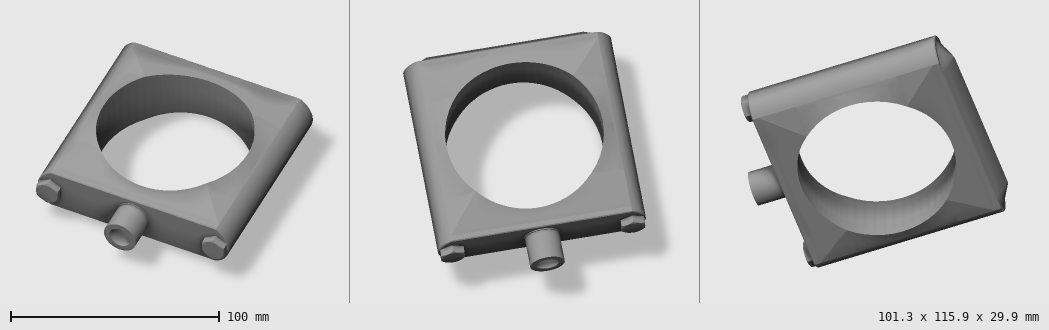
import cadquery as cq
import math

body_width = 101.3
body_length = 95.2
body_height = 22.5
flat_half_width = 43.9
body_end_chamfer = 0.5
bore_diameter = 76.1

saddle_height = 29.9
saddle_half_length = 44.5
saddle_top_half_length = 25.5

overall_length = 115.9
spout_diameter = 16.8
spout_hole_diameter = 10.9
spout_collar_diameter = 17.7
spout_collar_thickness = 0.5
drill_point_angle = 118.0

bolt_head_across_flats = 11.4
bolt_head_height = 3.8
bolt_head_flat_fraction = 0.97

ridge_height = 5.7
ridge_half_length = 38.1
ridge_base_half_length = 47.7

bore_radius = bore_diameter / 2
half_width = body_width / 2
half_height = body_height / 2
front_y = -body_length / 2
back_y = body_length / 2
spout_length = overall_length - body_length - ridge_height


def make_body():
    """Block whose left and right faces are cylindrical bulges."""
    return (
        cq.Workplane("XZ", origin=(0, back_y, 0))
        .moveTo(-flat_half_width, -half_height)
        .lineTo(flat_half_width, -half_height)
        .threePointArc((half_width, 0), (flat_half_width, half_height))
        .lineTo(-flat_half_width, half_height)
        .threePointArc((-half_width, 0), (-flat_half_width, -half_height))
        .close()
        .extrude(body_length)
        .faces("<Y or >Y")
        .chamfer(body_end_chamfer)
    )


def make_saddle():
    """Sloped pyramid crossed by a ruled band that follows the bore edge."""
    rise = (saddle_height - body_height) / 2
    top_half_width = math.sqrt(bore_radius**2 - saddle_top_half_length**2)
    base = cq.Workplane("XY", origin=(0, 0, half_height))
    pyramid = (
        base.rect(2 * flat_half_width, 2 * saddle_half_length)
        .workplane(offset=rise)
        .rect(2 * top_half_width, 2 * saddle_top_half_length)
        .loft(ruled=True)
    )
    band = (
        base.moveTo(-flat_half_width, -saddle_top_half_length)
        .lineTo(flat_half_width, -saddle_top_half_length)
        .lineTo(flat_half_width, saddle_top_half_length)
        .lineTo(-flat_half_width, saddle_top_half_length)
        .close()
        .workplane(offset=rise)
        .moveTo(-top_half_width, -saddle_top_half_length)
        .lineTo(top_half_width, -saddle_top_half_length)
        .threePointArc((bore_radius, 0), (top_half_width, saddle_top_half_length))
        .lineTo(-top_half_width, saddle_top_half_length)
        .threePointArc((-bore_radius, 0), (-top_half_width, -saddle_top_half_length))
        .close()
        .loft(ruled=True)
    )
    return pyramid.union(band)


def make_ridge():
    """Straight triangular ridge closed at both ends by half cones."""
    base_half_height = half_height - body_end_chamfer
    ridge = (
        cq.Workplane("YZ", origin=(-ridge_half_length, 0, 0))
        .polyline([
            (back_y, -base_half_height),
            (back_y + ridge_height, 0),
            (back_y, base_half_height),
        ])
        .close()
        .extrude(2 * ridge_half_length)
    )
    for side in (-1, 1):
        end_x = side * ridge_half_length
        end_base = (
            cq.Workplane("XZ", origin=(0, back_y, 0))
            .moveTo(end_x, -base_half_height)
            .threePointArc((side * ridge_base_half_length, 0), (end_x, base_half_height))
            .close()
            .wires()
            .val()
        )
        peak = cq.Vertex.makeVertex(end_x, back_y + ridge_height, 0)
        half_cone = cq.occ_impl.shapes.loft(end_base, peak, cap=True, ruled=True)
        ridge = ridge.union(cq.Workplane(half_cone))
    return ridge


def make_bolt_head(center_x):
    """Hexagon with two vertical flats and conically trimmed front corners."""
    across_corners = bolt_head_across_flats / math.cos(math.pi / 6)
    front_radius = bolt_head_flat_fraction * bolt_head_across_flats / 2
    face = cq.Workplane("XZ", origin=(center_x, front_y, 0))
    hexagon = (
        face.transformed(rotate=(0, 0, 90))
        .polygon(6, across_corners)
        .extrude(bolt_head_height)
    )
    trim = (across_corners / 2 - front_radius) * math.tan(math.pi / 6)
    envelope = (
        face.circle(across_corners / 2)
        .extrude(bolt_head_height - trim)
        .faces("<Y")
        .workplane()
        .circle(across_corners / 2)
        .workplane(offset=trim)
        .circle(front_radius)
        .loft()
    )
    return hexagon.intersect(envelope)


def make_spout():
    """Round spout with a thin collar at its root."""
    face = cq.Workplane("XZ", origin=(0, front_y, 0))
    collar = face.circle(spout_collar_diameter / 2).extrude(spout_collar_thickness)
    return face.circle(spout_diameter / 2).extrude(spout_length).union(collar)


def make_spout_hole():
    """Blind drilled hole as deep as the spout, ending in a drill point."""
    hole_radius = spout_hole_diameter / 2
    point_depth = hole_radius / math.tan(math.radians(drill_point_angle / 2))
    mouth_y = front_y - spout_length
    return (
        cq.Workplane("XY")
        .polyline([
            (0, mouth_y),
            (hole_radius, mouth_y),
            (hole_radius, front_y),
            (0, front_y + point_depth),
        ])
        .close()
        .revolve(360, (0, 0, 0), (0, 1, 0))
    )


saddle = make_saddle()
bore = cq.Workplane("XY").circle(bore_radius).extrude(saddle_height, both=True)

result = make_body().union(saddle).union(saddle.mirror("XY"))
result = result.cut(bore).union(make_ridge()).union(make_spout())
for side in (-1, 1):
    result = result.union(make_bolt_head(side * flat_half_width))
result = result.cut(make_spout_hole())